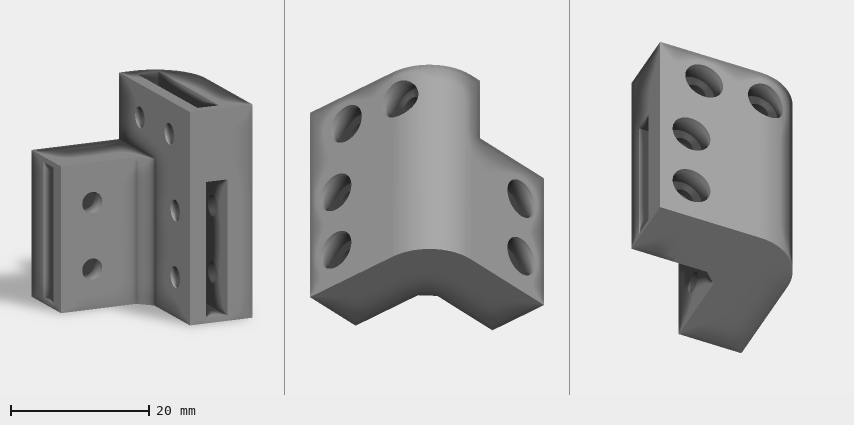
import cadquery as cq

width = 24.0
height = 32.0
wall = 10.0
corner_radius = 8.0
inner_chamfer = 2.0
leg_height = height - wall

slot_length = 20.4
slot_thickness = 3.4
slot_depth = 10.0
leg_slot_inset = 4.0
top_slot_inset = 2.0
top_slot_start = 2.0

hole_diameter = 3.2
counterbore_diameter = 6.0
counterbore_depth = 3.0
hole_pitch = 10.0
hole_end_distance = 5.0
top_hole_start = 7.0

back_wall_front = width - wall
leg_hole_heights = [leg_height / 2 + side * hole_pitch / 2 for side in (-1, 1)]


def make_box(size, corner):
    return cq.Workplane("XY").box(*size, centered=False).translate(corner)


def make_screw_cutter(entry, direction):
    """Through hole with a counterbore, starting at the entry point."""
    start = cq.Vector(*entry)
    axis = cq.Vector(*direction)
    hole = cq.Solid.makeCylinder(hole_diameter / 2, width, start, axis)
    counterbore = cq.Solid.makeCylinder(counterbore_diameter / 2, counterbore_depth, start, axis)
    return hole.fuse(counterbore)


def make_body():
    legs = (
        cq.Workplane("XY")
        .moveTo(0, 0)
        .lineTo(wall, 0)
        .lineTo(wall, back_wall_front - inner_chamfer)
        .lineTo(wall + inner_chamfer, back_wall_front)
        .lineTo(width, back_wall_front)
        .lineTo(width, width)
        .lineTo(0, width)
        .close()
        .extrude(leg_height)
    )
    raised_block = make_box((width, wall, wall), (0, back_wall_front, leg_height))
    return legs.union(raised_block).edges("|Z and <X and >Y").fillet(corner_radius)


def cut_slots(body):
    leg_slot_bottom = (leg_height - slot_length) / 2
    front_slot = make_box(
        (slot_thickness, slot_depth, slot_length),
        (leg_slot_inset, 0, leg_slot_bottom),
    )
    side_slot = make_box(
        (slot_depth, slot_thickness, slot_length),
        (width - slot_depth, width - leg_slot_inset - slot_thickness, leg_slot_bottom),
    )
    top_slot = make_box(
        (slot_length, slot_thickness, slot_depth),
        (top_slot_start, back_wall_front + top_slot_inset, height - slot_depth),
    )
    return body.cut(front_slot).cut(side_slot).cut(top_slot)


def cut_screw_holes(body):
    for z in leg_hole_heights:
        body = body.cut(make_screw_cutter((0, hole_end_distance, z), (1, 0, 0)))
        body = body.cut(make_screw_cutter((width - hole_end_distance, width, z), (0, -1, 0)))
    for x in (top_hole_start, top_hole_start + hole_pitch):
        body = body.cut(make_screw_cutter((x, width, height - hole_end_distance), (0, -1, 0)))
    return body


result = cut_screw_holes(cut_slots(make_body()))